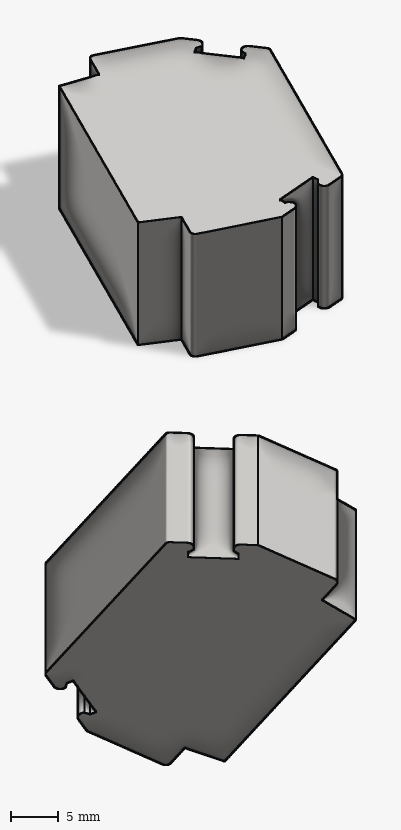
import cadquery as cq
import math

width = 33.4
depth = 23.0
height = 16.0

foot_half_width = 12.73
foot_root_half_width = 13.3
foot_depth = 4.6
side_lean = 0.07

groove_angle = math.radians(60)
groove_start_x = 13.75
groove_start_y = 15.35
groove_length = 5.28
groove_depth = 2.17

lip_foot_reach = 0.75
lip_corner_reach = 1.15
lip_corner_rise = 0.5
lip_radius = 0.75

side_corner_radius = 0.6
top_corner_radius = 0.5

half_width = width / 2
lip_center_reach = groove_depth - lip_radius
corner_to_center = lip_center_reach - lip_corner_reach
lip_center_rise = lip_corner_rise - math.sqrt(lip_radius**2 - corner_to_center**2)


def groove_point(reach, along):
    """Point at a distance out from the groove floor and along it, for the +X side."""
    x = groove_start_x + reach * math.sin(groove_angle) - along * math.cos(groove_angle)
    y = groove_start_y + reach * math.cos(groove_angle) + along * math.sin(groove_angle)
    return x, y


def lip_points(along):
    """Lip points from the outer slope to the groove floor; along(rise) places a rise on the floor."""
    corner_angle = math.atan2(lip_corner_rise - lip_center_rise, lip_corner_reach - lip_center_reach)
    middle_angle = corner_angle / 2
    middle_reach = lip_center_reach + lip_radius * math.cos(middle_angle)
    middle_rise = lip_center_rise + lip_radius * math.sin(middle_angle)
    return [
        groove_point(groove_depth, along(lip_center_rise)),
        groove_point(middle_reach, along(middle_rise)),
        groove_point(lip_corner_reach, along(lip_corner_rise)),
        groove_point(lip_foot_reach, along(0)),
        groove_point(0, along(0)),
    ]


def slope_x(y):
    """X of the outer slope at a given Y, for the +X side."""
    slope_start_x, slope_start_y = groove_point(groove_depth, 0)
    return slope_start_x - (y - slope_start_y) / math.tan(groove_angle)


def half_body(side):
    """Half of the body, with side +1 for +X and -1 for -X."""

    def place(point):
        return side * point[0], point[1]

    lower_x = half_width - (side_lean if side > 0 else 0)
    upper_x = half_width - (side_lean if side < 0 else 0)
    shoulder_y = groove_start_y + groove_depth * math.cos(groove_angle)
    shoulder_y -= (upper_x - slope_x(shoulder_y)) * math.tan(groove_angle)
    side_corner = (lower_x, foot_depth)
    top_corner = (slope_x(depth), depth)

    lower_lip = [place(p) for p in lip_points(lambda rise: rise)]
    upper_lip = [place(p) for p in lip_points(lambda rise: groove_length - rise)]
    slope_start, lower_middle, lower_corner, lower_foot, floor_start = lower_lip
    slope_end, upper_middle, upper_corner, upper_foot, floor_end = upper_lip

    outline = (
        cq.Workplane("XY")
        .moveTo(0, 0)
        .lineTo(*place((foot_half_width, 0)))
        .lineTo(*place((foot_root_half_width, foot_depth)))
        .lineTo(*place(side_corner))
        .lineTo(*place((upper_x, shoulder_y)))
        .lineTo(*slope_start)
        .threePointArc(lower_middle, lower_corner)
        .lineTo(*lower_foot)
        .lineTo(*floor_start)
        .lineTo(*floor_end)
        .lineTo(*upper_foot)
        .lineTo(*upper_corner)
        .threePointArc(upper_middle, slope_end)
        .lineTo(*place(top_corner))
        .lineTo(0, depth)
        .close()
    )
    body = outline.extrude(height)
    for corner, radius in ((side_corner, side_corner_radius), (top_corner, top_corner_radius)):
        edge_middle = (*place(corner), height / 2)
        body = body.edges(cq.selectors.NearestToPointSelector(edge_middle)).fillet(radius)
    return body


result = half_body(1).union(half_body(-1)).clean()